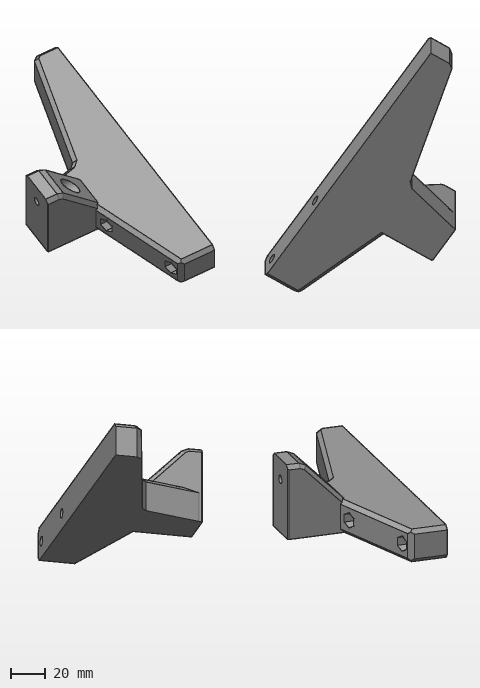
import cadquery as cq
import math

length = 176.1
depth = 75.0

plate_thickness = 20.0
bevel = 2.5
left_end_depth = 15.1
left_flank_angle = 15.0
right_flank_angle = 18.5
elbow_y = -36.8

bracket_width = 25.0
bracket_left = 90.5
bracket_height = 45.0
bracket_top_depth = 10.0
front_edge_bevel = 0.5
right_flank_start_y = -43.0

screw_diameter = 5.0
screw_head_diameter = 11.0
screw_z = 32.5
screw_seat_thickness = 5.0

bolt_diameter = 5.5
bolt_z = plate_thickness / 2
bolt_positions = (123.0, 168.9)
nut_across_flats = 8.1
nut_floor_y = -15.0

bracket_right = bracket_left + bracket_width
bracket_center = bracket_left + bracket_width / 2
left_slope = math.tan(math.radians(left_flank_angle))
right_slope = math.tan(math.radians(right_flank_angle))
elbow_x = (-left_end_depth - elbow_y) / left_slope
arm_end_y = elbow_y - (bracket_left - elbow_x) / left_slope
half_hexagon_step = 30.0
nut_across_corners = nut_across_flats / math.cos(math.radians(half_hexagon_step))


def right_flank_y(x):
    return right_flank_start_y + (x - bracket_right) * right_slope


def edges_at(solid, points):
    """Edges of the solid whose middles lie nearest to the given points."""
    picked = solid.edges(cq.selectors.NearestToPointSelector(points[0]))
    for point in points[1:]:
        picked = picked.add(solid.edges(cq.selectors.NearestToPointSelector(point)))
    return picked


def middle(start, end, z):
    """Point at height z, halfway between two points of the outline."""
    return ((start[0] + end[0]) / 2, (start[1] + end[1]) / 2, z)


def make_plate():
    left_corner = (0, -left_end_depth)
    elbow = (elbow_x, elbow_y)
    right_corner = (length, right_flank_y(length))
    arm_end = (bracket_left, arm_end_y)
    inner_front = (bracket_center, arm_end_y)
    inner_back = (bracket_center, right_flank_y(bracket_center))
    outline = [(0, 0), left_corner, elbow, arm_end, inner_front, inner_back, right_corner, (length, 0)]
    plate = cq.Workplane("XY").polyline(outline).close().extrude(plate_thickness)

    corners = [(x, y, plate_thickness / 2) for x, y in (left_corner, elbow)]
    plate = edges_at(plate, corners).chamfer(bevel)

    left_run = [((0, 0), left_corner), (left_corner, left_corner), (left_corner, elbow), (elbow, elbow),
                (elbow, arm_end)]
    right_run = [(inner_back, right_corner), (right_corner, (length, 0))]
    rims = [middle(*side, plate_thickness) for side in left_run + right_run]
    rims += [middle(*side, 0) for side in right_run]
    plate = edges_at(plate, rims).chamfer(bevel)

    return edges_at(plate, [(*right_corner, plate_thickness / 2)]).chamfer(bevel)


def make_bracket():
    slope_top_y = -depth + bracket_top_depth
    slope_end_y = slope_top_y + bracket_height - plate_thickness
    profile = [(-depth, 0), (-depth, bracket_height), (slope_top_y, bracket_height),
               (slope_end_y, plate_thickness), (slope_end_y, 0)]
    bracket = (
        cq.Workplane("YZ", origin=(bracket_left, 0, 0))
        .polyline(profile).close().extrude(bracket_width)
    )
    slope_middle_y = (slope_top_y + slope_end_y) / 2
    slope_middle_z = (bracket_height + plate_thickness) / 2
    top_middle_y = (slope_top_y - depth) / 2
    rims = [(bracket_center, slope_top_y, bracket_height)]
    for x in (bracket_left, bracket_right):
        rims.append((x, top_middle_y, bracket_height))
        rims.append((x, slope_middle_y, slope_middle_z))
    bracket = edges_at(bracket, rims).chamfer(bevel)
    return bracket.faces("<Y").edges("|Z").chamfer(front_edge_bevel)


def facing_front(x, y, z):
    """Sketch plane at the given point, with its normal along -Y."""
    return cq.Workplane("XZ", origin=(x, y, z))


def make_bracket_screw():
    hole = facing_front(bracket_center, 0, screw_z).circle(screw_diameter / 2).extrude(depth)
    seat_y = -depth + screw_seat_thickness
    head = facing_front(bracket_center, 0, screw_z).circle(screw_head_diameter / 2).extrude(-seat_y)
    return hole.union(head)


def make_plate_bolt(x):
    hole = facing_front(x, 0, bolt_z).circle(bolt_diameter / 2).extrude(depth)
    pocket = (
        facing_front(x, nut_floor_y, bolt_z)
        .transformed(rotate=(0, 0, half_hexagon_step)).polygon(6, nut_across_corners).extrude(depth)
    )
    return hole.union(pocket)


result = make_plate().union(make_bracket()).cut(make_bracket_screw())
for bolt_x in bolt_positions:
    result = result.cut(make_plate_bolt(bolt_x))